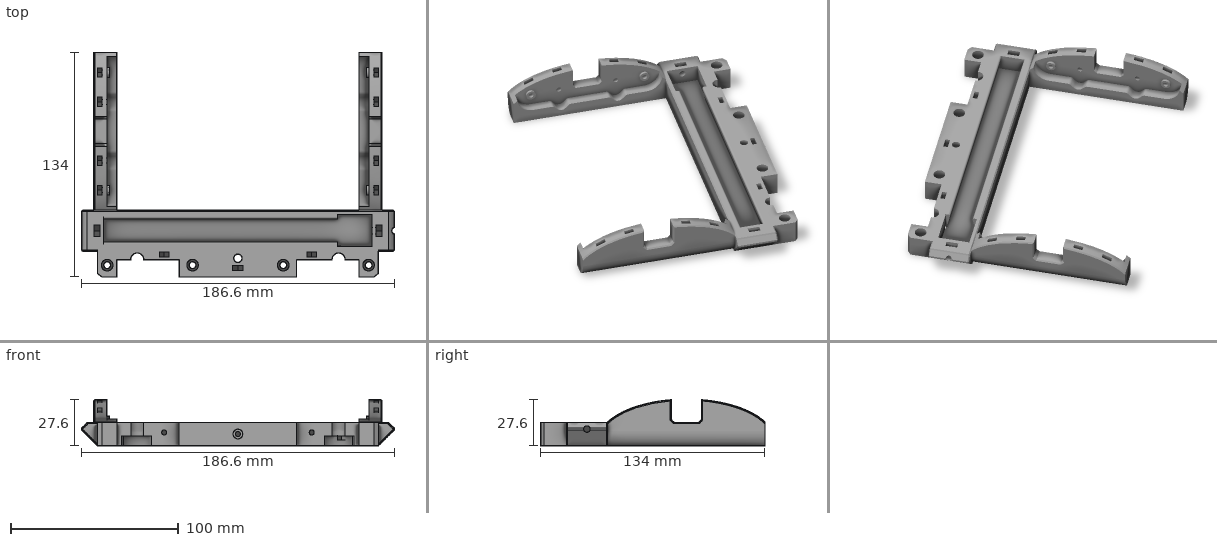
import cadquery as cq
import math

DECK_HEIGHT = 14.0
DECK_DEPTH = 40.0
DECK_HALF_WIDTH = 83.8
BACK_EDGE_CHAMFER = 0.7
TAB_INNER_X = 72.2
TAB_CORNER_X = 2.6
TAB_CORNER_Y = 2.0
CENTRE_BLOCK_HALF_WIDTH = 35.1
RECESS_DEPTH = 10.3

TIP_HALF_WIDTH = 93.3
TIP_BOTTOM_Z = 9.5
TIP_TOP_Z = 10.6
WING_TOP_X = 90.0
WING_SHOULDER_X = 90.5
WING_SHOULDER_Z = 13.3
WING_FRONT_Y = 15.3
WING_CHAMFER = 0.7
WING_MID_Y = (WING_FRONT_Y + DECK_DEPTH) / 2

ARM_INNER_X = TAB_INNER_X
ARM_OUTER_X = 86.0
ARM_FRONT_Y = DECK_DEPTH
ARM_BACK_Y = 134.0
ARM_MID_Y = (ARM_FRONT_Y + ARM_BACK_Y) / 2
CROWN_CENTRE_Z = 3.7
CROWN_SEMI_LENGTH = 52.0
CROWN_SEMI_HEIGHT = 24.3
CROWN_CHAMFER = 0.7
ROUNDING_TOP_Z = 8.8
ROUNDING_RADIUS = 10.0
SADDLE_HALF_WIDTH = 9.0
SADDLE_CORNER = 1.7

ARM_WALL_X = 78.2
FLOOR_Z = 7.5
POCKET_END_RADIUS = 9.7
POCKET_HALF_LENGTH = 44.8
TROUGH_OFFSET = 17.5
TROUGH_DEPTH = 3.5
TROUGH_RADIUS = 3.5
TROUGH_LIP_RADIUS = 2.2
BOSS_OFFSET = POCKET_HALF_LENGTH - POCKET_END_RADIUS
BOSS_DIAMETER = 5.8
BOSS_LENGTH = 1.5
ARM_HOLE_Z = 15.0
ARM_NUT_X = 82.5

POCKET_FLOOR_Z = 3.5
POCKET_HALF_LENGTH_X = 80.0
POCKET_MID_Y = 27.8
WIDE_POCKET_START_X = 59.5
WIDE_POCKET_HALF_WIDTH = 9.5
RIM_HALF_WIDTH = 8.0
NOSE_HALF_WIDTH = 7.0
UNDERCUT_HALF_WIDTH = 8.5
NOSE_DROP = 1.1
FLOOR_FILLET = 1.1

SCREW_Y = 7.1
TAB_SCREW_X = 78.0
BLOCK_SCREW_X = 27.0
SCREW_HOLE_DIAMETER = 4.0
SCREW_HEAD_DIAMETER = 7.0
SCREW_SEAT_Z = 6.0
PIN_HOLE_DIAMETER = 4.9
PIN_HOLE_Y = 11.2
SMALL_HOLE_DIAMETER = 3.0
SMALL_NUT_WIDTH = 5.6
SMALL_NUT_THICKNESS = 2.8
FRONT_NUT_X = 44.0
FRONT_NUT_Y = 13.5
FRONT_HOLE_Z = 8.0
CENTRE_NUT_WIDTH = 6.2
CENTRE_NUT_Y = 5.5
CENTRE_HOLE_Z = 7.1
CENTRE_HEAD_DIAMETER = 5.8
CENTRE_HEAD_DEPTH = 1.0
WING_NUT_WIDTH = 7.1
WING_NUT_THICKNESS = 3.5
WING_NUT_X = 84.2
WING_HOLE_DIAMETER = 4.0
WING_HOLE_Z = 10.0

NOTCH_X = 60.1
NOTCH_Y = 10.5
NOTCH_STEP_Y = 10.0
NOTCH_DIAMETER = 7.7
NOTCH_STEP_DIAMETER = 16.8
NOTCH_STEP_Z = 6.0
NOTCH_BEVEL = 1.0

TALL = 56.0
SIDES = (-1, 1)


def both_sides(shape):
    return shape.union(shape.mirror("YZ"))


def box(x0, x1, y0, y1, z0, z1):
    size = cq.Workplane("XY").box(x1 - x0, y1 - y0, z1 - z0, centered=False)
    return size.translate((x0, y0, z0))


def upright_cylinder(x, y, diameter, z0, z1):
    return cq.Workplane("XY", origin=(x, y, z0)).circle(diameter / 2).extrude(z1 - z0)


def cylinder_along_x(x0, x1, y, z, diameter):
    return cq.Workplane("YZ", origin=(x0, y, z)).circle(diameter / 2).extrude(x1 - x0)


def cylinder_along_y(x, y0, y1, z, diameter):
    return cq.Workplane("XZ", origin=(x, y0, z)).circle(diameter / 2).extrude(y0 - y1)


def nut_slot(width, thickness, hole_z):
    """Slot open upwards, across X, whose pointed bottom fits a hexagon nut centred at hole_z."""
    half = width / 2
    rise = half * math.tan(math.radians(30))
    tip = 2 * rise
    outline = [(-half, hole_z - rise), (0, hole_z - tip), (half, hole_z - rise), (half, TALL), (-half, TALL)]
    return cq.Workplane("XZ").polyline(outline).close().extrude(thickness / 2, both=True)


def nut_slot_along_y(width, thickness, hole_z):
    return nut_slot(width, thickness, hole_z).rotate((0, 0, 0), (0, 0, 1), 90)


def deck():
    plate = box(-DECK_HALF_WIDTH, DECK_HALF_WIDTH, 0, DECK_DEPTH, 0, DECK_HEIGHT)
    plate = plate.edges("|Z and <Y").chamfer(TAB_CORNER_Y, TAB_CORNER_X)
    plate = plate.edges(">Y and >Z").chamfer(BACK_EDGE_CHAMFER)
    return plate.cut(both_sides(box(CENTRE_BLOCK_HALF_WIDTH, TAB_INNER_X, -1.9, RECESS_DEPTH, -1.9, TALL)))


def wings():
    right_side = [
        (DECK_HALF_WIDTH, 0),
        (TIP_HALF_WIDTH, TIP_BOTTOM_Z),
        (TIP_HALF_WIDTH, TIP_TOP_Z),
        (WING_SHOULDER_X, WING_SHOULDER_Z),
        (WING_TOP_X, DECK_HEIGHT),
    ]
    left_side = [(-x, z) for x, z in reversed(right_side)]
    profile = cq.Workplane("XZ", origin=(0, WING_FRONT_Y, 0)).polyline(right_side + left_side).close()
    bar = profile.extrude(WING_FRONT_Y - DECK_DEPTH)
    return bar.faces("<Y or >Y").chamfer(WING_CHAMFER)


def arm_section():
    """Upright section with the lower outer corner rounded by part of a circle."""
    sweep = math.asin(ROUNDING_TOP_Z / ROUNDING_RADIUS)
    centre_x = ARM_OUTER_X - ROUNDING_RADIUS
    middle = (
        centre_x + ROUNDING_RADIUS * math.cos(sweep / 2),
        ROUNDING_TOP_Z - ROUNDING_RADIUS * math.sin(sweep / 2),
    )
    return (
        cq.Workplane("XZ", origin=(0, ARM_FRONT_Y, 0))
        .moveTo(ARM_INNER_X, 0)
        .lineTo(centre_x + ROUNDING_RADIUS * math.cos(sweep), 0)
        .threePointArc(middle, (ARM_OUTER_X, ROUNDING_TOP_Z))
        .lineTo(ARM_OUTER_X, TALL)
        .lineTo(ARM_INNER_X, TALL)
        .close()
        .extrude(ARM_FRONT_Y - ARM_BACK_Y)
    )


def arm_blank():
    width = ARM_OUTER_X - ARM_INNER_X
    crown = (
        cq.Workplane("YZ", origin=(ARM_INNER_X, ARM_MID_Y, CROWN_CENTRE_Z))
        .ellipse(CROWN_SEMI_LENGTH, CROWN_SEMI_HEIGHT)
        .extrude(width)
    )
    saddle = box(
        ARM_INNER_X - 1.9, ARM_OUTER_X + 1.9,
        ARM_MID_Y - SADDLE_HALF_WIDTH, ARM_MID_Y + SADDLE_HALF_WIDTH, DECK_HEIGHT, TALL,
    ).edges("|X and <Z").chamfer(SADDLE_CORNER)
    side = box(ARM_INNER_X, ARM_OUTER_X, ARM_FRONT_Y, ARM_BACK_Y, -TALL, TALL).intersect(crown).cut(saddle)
    upper_edges = cq.selectors.BoxSelector(
        (ARM_OUTER_X - 0.2, ARM_FRONT_Y + 0.2, DECK_HEIGHT - 0.2),
        (ARM_OUTER_X + 0.2, ARM_BACK_Y - 0.2, TALL),
    )
    return side.edges(upper_edges).chamfer(CROWN_CHAMFER).intersect(arm_section())


def trough(mid_y):
    """Round-bottomed trough with 45 degree flanks and rounded lips, cut into the recess floor."""
    slope = math.sin(math.pi / 4)
    drop = 1 - slope
    half_middle = math.sin(math.pi / 8)
    drop_middle = 1 - math.cos(math.pi / 8)
    bottom_z = FLOOR_Z - TROUGH_DEPTH
    round_y = TROUGH_RADIUS * slope
    round_z = bottom_z + TROUGH_RADIUS * drop
    lip_z = FLOOR_Z - TROUGH_LIP_RADIUS * drop
    flank_y = round_y + lip_z - round_z
    edge_y = flank_y + TROUGH_LIP_RADIUS * slope
    lip_middle = (edge_y - TROUGH_LIP_RADIUS * half_middle, FLOOR_Z - TROUGH_LIP_RADIUS * drop_middle)
    return (
        cq.Workplane("YZ", origin=(ARM_INNER_X - 1.9, mid_y, 0))
        .moveTo(-edge_y, FLOOR_Z)
        .threePointArc((-lip_middle[0], lip_middle[1]), (-flank_y, lip_z))
        .lineTo(-round_y, round_z)
        .threePointArc((0, bottom_z), (round_y, round_z))
        .lineTo(flank_y, lip_z)
        .threePointArc(lip_middle, (edge_y, FLOOR_Z))
        .lineTo(edge_y, FLOOR_Z + 1.9)
        .lineTo(-edge_y, FLOOR_Z + 1.9)
        .close()
        .extrude(ARM_WALL_X - ARM_INNER_X + 1.9)
    )


def arm_recess():
    recess = box(
        ARM_INNER_X - 1.9, ARM_WALL_X,
        ARM_MID_Y - POCKET_HALF_LENGTH, ARM_MID_Y + POCKET_HALF_LENGTH, FLOOR_Z, TALL,
    ).edges("|X and <Z").fillet(POCKET_END_RADIUS)
    for side in SIDES:
        recess = recess.union(trough(ARM_MID_Y + side * TROUGH_OFFSET))
    return recess


def arm():
    body = arm_blank().cut(arm_recess())
    for side in SIDES:
        boss_y = ARM_MID_Y + side * BOSS_OFFSET
        body = body.union(
            cylinder_along_x(ARM_WALL_X - BOSS_LENGTH, ARM_WALL_X, boss_y, ARM_HOLE_Z, BOSS_DIAMETER)
        )
        for offset in (TROUGH_OFFSET, BOSS_OFFSET):
            y = ARM_MID_Y + side * offset
            slot = nut_slot_along_y(SMALL_NUT_WIDTH, SMALL_NUT_THICKNESS, ARM_HOLE_Z)
            body = body.cut(slot.translate((ARM_NUT_X, y, 0)))
            body = body.cut(cylinder_along_x(ARM_INNER_X, ARM_NUT_X, y, ARM_HOLE_Z, SMALL_HOLE_DIAMETER))
    return body


def narrow_pocket_half():
    """Half section from the centre line out: rounded nose, undercut wall and rounded floor corner."""
    quarter = math.sin(math.pi / 4)
    nose_z = DECK_HEIGHT - NOSE_DROP
    corner_z = POCKET_FLOOR_Z + FLOOR_FILLET
    nose_middle = (
        RIM_HALF_WIDTH - (RIM_HALF_WIDTH - NOSE_HALF_WIDTH) * quarter,
        nose_z + NOSE_DROP * quarter,
    )
    corner_middle = (
        UNDERCUT_HALF_WIDTH - FLOOR_FILLET * (1 - quarter),
        POCKET_FLOOR_Z + FLOOR_FILLET * (1 - quarter),
    )
    return (
        cq.Workplane("YZ", origin=(-POCKET_HALF_LENGTH_X, POCKET_MID_Y, 0))
        .moveTo(0, TALL)
        .lineTo(RIM_HALF_WIDTH, TALL)
        .lineTo(RIM_HALF_WIDTH, DECK_HEIGHT)
        .threePointArc(nose_middle, (NOSE_HALF_WIDTH, nose_z))
        .lineTo(UNDERCUT_HALF_WIDTH, corner_z)
        .threePointArc(corner_middle, (UNDERCUT_HALF_WIDTH - FLOOR_FILLET, POCKET_FLOOR_Z))
        .lineTo(0, POCKET_FLOOR_Z)
        .close()
        .extrude(WIDE_POCKET_START_X + POCKET_HALF_LENGTH_X)
    )


def deck_pocket():
    half = narrow_pocket_half()
    other_half = half.mirror("XZ", (0, POCKET_MID_Y, 0))
    wide = box(
        WIDE_POCKET_START_X, POCKET_HALF_LENGTH_X,
        POCKET_MID_Y - WIDE_POCKET_HALF_WIDTH, POCKET_MID_Y + WIDE_POCKET_HALF_WIDTH, POCKET_FLOOR_Z, TALL,
    )
    return half.union(other_half).union(wide)


def notch():
    step_edge_x = NOTCH_X + NOTCH_STEP_DIAMETER / 2
    bevel = [
        (NOTCH_X, RECESS_DEPTH),
        (step_edge_x + NOTCH_BEVEL, RECESS_DEPTH),
        (step_edge_x, RECESS_DEPTH + NOTCH_BEVEL),
        (NOTCH_X, RECESS_DEPTH + NOTCH_BEVEL),
    ]
    return (
        upright_cylinder(NOTCH_X, NOTCH_Y, NOTCH_DIAMETER, 0, DECK_HEIGHT)
        .union(upright_cylinder(NOTCH_X, NOTCH_STEP_Y, NOTCH_STEP_DIAMETER, 0, NOTCH_STEP_Z))
        .union(cq.Workplane("XY").polyline(bevel).close().extrude(NOTCH_STEP_Z))
    )


def deck_screw(x):
    through = upright_cylinder(x, SCREW_Y, SCREW_HOLE_DIAMETER, 0, DECK_HEIGHT)
    return through.union(upright_cylinder(x, SCREW_Y, SCREW_HEAD_DIAMETER, SCREW_SEAT_Z, DECK_HEIGHT))


def front_nut():
    slot = nut_slot(SMALL_NUT_WIDTH, SMALL_NUT_THICKNESS, FRONT_HOLE_Z).translate((FRONT_NUT_X, FRONT_NUT_Y, 0))
    return slot.union(cylinder_along_y(FRONT_NUT_X, RECESS_DEPTH, FRONT_NUT_Y, FRONT_HOLE_Z, SMALL_HOLE_DIAMETER))


def centre_nut():
    slot = nut_slot(CENTRE_NUT_WIDTH, SMALL_NUT_THICKNESS, CENTRE_HOLE_Z).translate((0, CENTRE_NUT_Y, 0))
    hole = cylinder_along_y(0, 0, CENTRE_NUT_Y, CENTRE_HOLE_Z, SMALL_HOLE_DIAMETER)
    head = cylinder_along_y(0, 0, CENTRE_HEAD_DEPTH, CENTRE_HOLE_Z, CENTRE_HEAD_DIAMETER)
    return slot.union(hole).union(head)


def wing_nut_slot():
    slot = nut_slot_along_y(WING_NUT_WIDTH, WING_NUT_THICKNESS, WING_HOLE_Z)
    return slot.translate((WING_NUT_X, WING_MID_Y, 0))


result = deck().union(wings()).union(both_sides(arm()))
result = result.cut(deck_pocket())
for feature in (notch(), deck_screw(TAB_SCREW_X), deck_screw(BLOCK_SCREW_X), front_nut(), wing_nut_slot()):
    result = result.cut(both_sides(feature))
result = result.cut(centre_nut())
result = result.cut(upright_cylinder(0, PIN_HOLE_Y, PIN_HOLE_DIAMETER, 0, DECK_HEIGHT))
result = result.cut(
    cylinder_along_x(POCKET_HALF_LENGTH_X, TIP_HALF_WIDTH, WING_MID_Y, WING_HOLE_Z, WING_HOLE_DIAMETER)
)